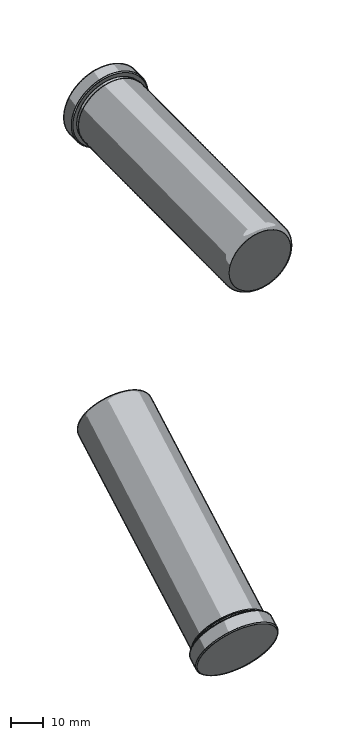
import cadquery as cq

length = 90.0
shank_radius = 12.5
head_diameter = 28.0
head_thickness = 5.0
head_edge_break = 0.4

groove_width = 1.35
groove_depth = 0.3
groove_ramp = 0.3

lead_length = 2.1
lead_drop = 1.35

head_radius = head_diameter / 2
head_face = -length / 2
tip = length / 2
head_back = head_face + head_thickness
groove_end = head_back + groove_width
groove_radius = shank_radius - groove_depth
lead_start = tip - lead_length

profile = (
    cq.Workplane("XY")
    .moveTo(head_face, 0)
    .lineTo(head_face, head_radius - head_edge_break)
    .lineTo(head_face + head_edge_break, head_radius)
    .lineTo(head_back - head_edge_break, head_radius)
    .lineTo(head_back, head_radius - head_edge_break)
    .lineTo(head_back, groove_radius)
    .lineTo(groove_end - groove_ramp, groove_radius)
    .lineTo(groove_end, shank_radius)
    .lineTo(lead_start, shank_radius)
    .tangentArcPoint((tip, shank_radius - lead_drop), relative=False)
    .lineTo(tip, 0)
    .close()
)

result = profile.revolve(360, (0, 0, 0), (1, 0, 0))